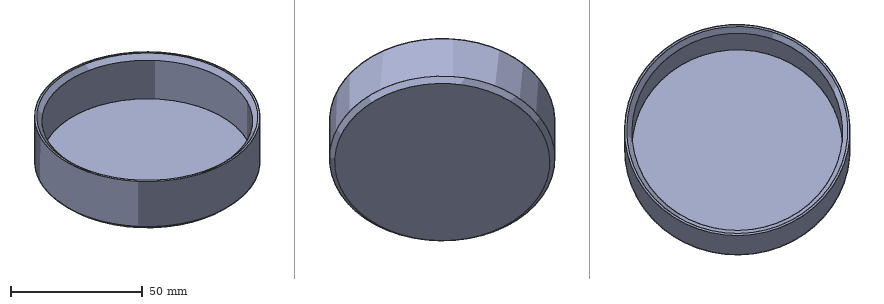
import cadquery as cq

outer_diameter = 86.0
height = 23.0
cavity_diameter = 80.3
floor_thickness = 3.0
base_chamfer = 2.0
mouth_chamfer = 2.0

body = cq.Workplane("XY").circle(outer_diameter / 2).extrude(height)
body = body.faces("<Z").edges().chamfer(base_chamfer)

cavity_depth = height - floor_thickness
cavity = (
    cq.Workplane("XY")
    .workplane(offset=floor_thickness)
    .circle(cavity_diameter / 2)
    .extrude(cavity_depth)
)
dish = body.cut(cavity)

result = dish.faces(">Z").edges(cq.selectors.RadiusNthSelector(0)).chamfer(mouth_chamfer)